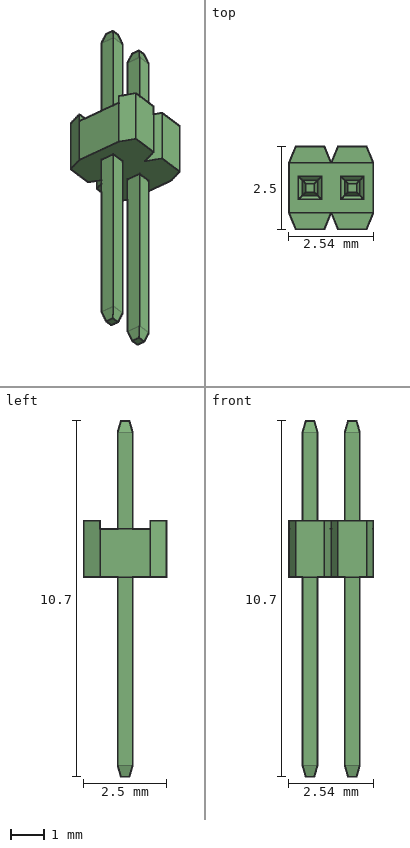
import cadquery as cq

pitch = 1.27
pin_count = 2

housing_depth = 2.5
housing_height = 1.7
core_depth = 1.5
core_height = 1.45
lobe_inset = 0.205

pin_width = 0.46
pin_length_below = 6.0
pin_length_above = 3.0
tip_width = 0.26
tip_length = 0.35

recess_width = 0.7
recess_depth = 0.12

housing_length = pin_count * pitch
pin_length = pin_length_below + housing_height + pin_length_above
pin_centres = [(i - (pin_count - 1) / 2) * pitch for i in range(pin_count)]


def square_taper(x, z, width, end_width, height):
    """Square frustum centred on x, rising from z (falling if height is negative)."""
    return (
        cq.Workplane("XY", origin=(x, 0, z))
        .rect(width, width)
        .workplane(offset=height)
        .rect(end_width, end_width)
        .loft()
    )


def lobe(x, side):
    """Upright wedge-sided lobe on the front (side = -1) or back (side = 1) of the core."""
    root_y = side * core_depth / 2
    outer_y = side * housing_depth / 2
    root_half = pitch / 2
    outer_half = root_half - lobe_inset
    return (
        cq.Workplane("XY")
        .moveTo(x - root_half, root_y)
        .lineTo(x + root_half, root_y)
        .lineTo(x + outer_half, outer_y)
        .lineTo(x - outer_half, outer_y)
        .close()
        .extrude(housing_height)
    )


def make_pin(x):
    """Square pin with a tapered tip at each end."""
    shank_bottom = tip_length - pin_length_below
    shank_length = pin_length - 2 * tip_length
    shank_top = shank_bottom + shank_length
    shank = (
        cq.Workplane("XY", origin=(x, 0, shank_bottom))
        .rect(pin_width, pin_width)
        .extrude(shank_length)
    )
    top_tip = square_taper(x, shank_top, pin_width, tip_width, tip_length)
    bottom_tip = square_taper(x, shank_bottom, pin_width, tip_width, -tip_length)
    return shank.union(top_tip).union(bottom_tip)


def make_housing():
    """Core block with lobes standing above it, tapered pin recesses and pin holes."""
    body = cq.Workplane("XY").rect(housing_length, core_depth).extrude(core_height)
    for x in pin_centres:
        for side in (-1, 1):
            body = body.union(lobe(x, side))
    for x in pin_centres:
        hole = cq.Workplane("XY", origin=(x, 0, 0)).rect(pin_width, pin_width).extrude(core_height)
        recess = square_taper(x, core_height, recess_width, pin_width, -recess_depth)
        body = body.cut(hole).cut(recess)
    return body


housing = make_housing()
pins = [make_pin(x) for x in pin_centres]

result = cq.Compound.makeCompound([housing.val(), *[pin.val() for pin in pins]])